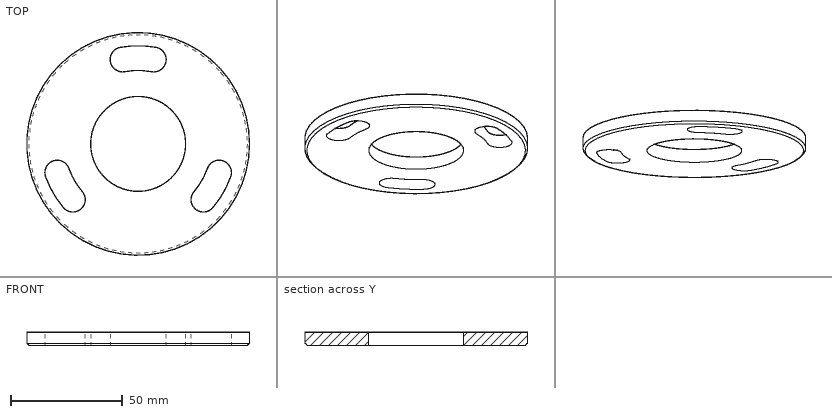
import cadquery as cq
import math

disc_diameter = 100.0
disc_thickness = 6.0
bottom_chamfer = 1.0
bore_diameter = 42.5

slot_count = 3
first_slot_angle = 90.0
slot_inner_radius = 33.0
slot_outer_radius = 44.0
slot_half_angle = 10.5

slot_width = slot_outer_radius - slot_inner_radius
slot_mid_radius = (slot_inner_radius + slot_outer_radius) / 2


def polar(radius, angle):
    """Point at the given radius and angle in degrees."""
    return (radius * math.cos(math.radians(angle)), radius * math.sin(math.radians(angle)))


def end_tip(end_angle, direction):
    """Tip of a round slot end, half a slot width beyond its centre."""
    centre_x, centre_y = polar(slot_mid_radius, end_angle)
    offset_x, offset_y = polar(slot_width / 2, end_angle + direction * 90)
    return (centre_x + offset_x, centre_y + offset_y)


def curved_slot(middle_angle):
    """Cutter for one slot that follows the disc's circumference."""
    start = middle_angle - slot_half_angle
    end = middle_angle + slot_half_angle
    return (
        cq.Workplane("XY")
        .moveTo(*polar(slot_outer_radius, start))
        .threePointArc(polar(slot_outer_radius, middle_angle), polar(slot_outer_radius, end))
        .threePointArc(end_tip(end, 1), polar(slot_inner_radius, end))
        .threePointArc(polar(slot_inner_radius, middle_angle), polar(slot_inner_radius, start))
        .threePointArc(end_tip(start, -1), polar(slot_outer_radius, start))
        .close()
        .extrude(disc_thickness)
    )


result = cq.Workplane("XY").circle(disc_diameter / 2).extrude(disc_thickness)
result = result.faces("<Z").edges().chamfer(bottom_chamfer)
result = result.faces(">Z").workplane().hole(bore_diameter)

for slot_index in range(slot_count):
    result = result.cut(curved_slot(first_slot_angle + slot_index * 360 / slot_count))